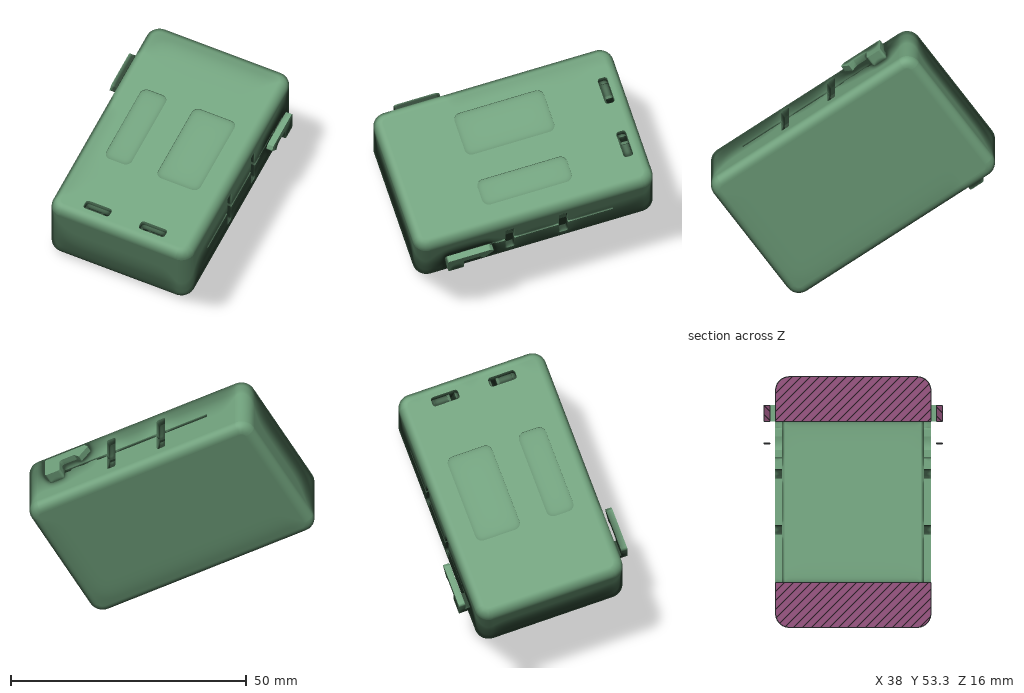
import cadquery as cq

BODY_WIDTH = 33.05
BODY_LENGTH = 53.3
BODY_HEIGHT = 16.0
CORNER_RADIUS = 3.0
RIM_RADIUS = 1.95
WALL = 1.5

GAP_LENGTH = 34.0
GAP_HEIGHT = 0.85

CORE_WIDTH = BODY_WIDTH - 2 * WALL
CORE_TOP = BODY_HEIGHT / 2 - WALL
CORE_CHAMFER = 0.55

WINDOW_WIDTH = 2.0
WINDOW_HEIGHT = 9.4
WINDOW_SPACING = 11.95
WINDOW_RADIUS = 0.5

OVERALL_WIDTH = 38.0
ARM_THICKNESS = 1.4
STEM_OUTER_Y = 20.5
STEM_INNER_Y = GAP_LENGTH / 2
LATCH_BOTTOM = -2.0
LATCH_TOP = 2.95
ARM_UNDERSIDE = 1.0
HOOK_TIP_Y = 12.4
HOOK_TIP_Z = -0.1
ARM_END_Y = 11.1
LATCH_RADIUS = 0.5
NOSE_RADIUS = 0.25

RIDGE_LENGTH = 6.55
RIDGE_SLOPE = 0.35
GROOVE_LENGTH = 2.75
GROOVE_DEPTH = 0.2

LABEL_LENGTH = 19.95
LABEL_DEPTH = 0.2
LABEL_RADIUS = 1.5
PART_NUMBER_X = -8.05
PART_NUMBER_WIDTH = 6.0
LOGO_X = 6.0
LOGO_WIDTH = 9.95

POCKET_X = 6.45
POCKET_Y = -22.8
POCKET_LENGTH = 6.1
POCKET_WIDTH = 2.15
POCKET_DEPTH = 1.75
POCKET_RADIUS = 0.65
RAMP_SIZE = 0.6
NOTCH_INNER_X = 4.05
NOTCH_OUTER_X = 5.2
NOTCH_DEPTH = 4.8
STEP_INNER_X = 5.8
STEP_OUTER_X = 8.75
STEP_DEPTH = 0.2

TOP = BODY_HEIGHT / 2


def enclosure():
    """Rounded outer block that both halves are cut from."""
    block = cq.Workplane("XY").box(BODY_WIDTH, BODY_LENGTH, BODY_HEIGHT)
    return block.edges("|Z").fillet(CORNER_RADIUS).faces("<Z or >Z").edges().fillet(RIM_RADIUS)


def half_space(side):
    """Block covering everything above (side = 1) or below (side = -1) the parting plane."""
    return cq.Workplane("XY").box(BODY_WIDTH, BODY_LENGTH, TOP).translate((0, 0, side * TOP / 2))


def core_cavity():
    return cq.Workplane("XY").box(CORE_WIDTH, GAP_LENGTH, 2 * CORE_TOP)


def cable_gap():
    return cq.Workplane("XY").box(BODY_WIDTH, GAP_LENGTH, GAP_HEIGHT)


def side_windows():
    """Two upright openings that pass through both long walls."""
    centers = [(-WINDOW_SPACING / 2, 0), (WINDOW_SPACING / 2, 0)]
    bars = cq.Workplane("YZ").pushPoints(centers).rect(WINDOW_WIDTH, WINDOW_HEIGHT)
    return bars.extrude(BODY_WIDTH / 2, both=True).edges("|X").fillet(WINDOW_RADIUS)


def housing_half(side):
    half = enclosure().intersect(half_space(side))
    return half.cut(core_cavity()).cut(cable_gap()).cut(side_windows())


def label_recess(x, width):
    recess = cq.Workplane("XY").box(width, LABEL_LENGTH, 2 * LABEL_DEPTH)
    return recess.edges("|Z").fillet(LABEL_RADIUS).translate((x, 0, TOP))


def top_pocket():
    """Pocket at +X with a sloped foot along its back wall, a steep inner notch and a sunken floor."""
    pocket = cq.Workplane("XY").box(POCKET_LENGTH, POCKET_WIDTH, 2 * POCKET_DEPTH)
    pocket = pocket.edges("|Z").fillet(POCKET_RADIUS).translate((POCKET_X, POCKET_Y, TOP))

    back = POCKET_Y + POCKET_WIDTH / 2
    floor = TOP - POCKET_DEPTH
    ramp_profile = [(back, floor + RAMP_SIZE), (back, floor), (back - RAMP_SIZE, floor)]
    ramp = cq.Workplane("YZ").polyline(ramp_profile).close().extrude(BODY_WIDTH / 2)

    floor_plane = cq.Workplane("XZ", origin=(0, back - RAMP_SIZE, 0))
    floor_width = POCKET_WIDTH - RAMP_SIZE
    notch_profile = [(NOTCH_INNER_X, floor), (NOTCH_OUTER_X, floor), (NOTCH_OUTER_X, floor - NOTCH_DEPTH)]
    notch = floor_plane.polyline(notch_profile).close().extrude(floor_width)
    step_profile = [
        (STEP_INNER_X, floor),
        (STEP_OUTER_X, floor),
        (STEP_OUTER_X, floor - STEP_DEPTH),
        (STEP_INNER_X, floor - STEP_DEPTH),
    ]
    step = floor_plane.polyline(step_profile).close().extrude(floor_width)
    return pocket.cut(ramp).union(notch).union(step)


def latch():
    """Stem and hooked arm beside the +X wall."""
    nose_y = (HOOK_TIP_Y + HOOK_TIP_Z + ARM_END_Y - LATCH_TOP) / 2
    nose_z = LATCH_TOP - (ARM_END_Y - nose_y)
    hook_root_y = HOOK_TIP_Y + ARM_UNDERSIDE - HOOK_TIP_Z
    profile = [
        (STEM_OUTER_Y, LATCH_BOTTOM),
        (STEM_INNER_Y, LATCH_BOTTOM),
        (STEM_INNER_Y, ARM_UNDERSIDE),
        (hook_root_y, ARM_UNDERSIDE),
        (HOOK_TIP_Y, HOOK_TIP_Z),
        (nose_y, nose_z),
        (ARM_END_Y, LATCH_TOP),
        (STEM_OUTER_Y, LATCH_TOP),
    ]
    reach = (OVERALL_WIDTH - BODY_WIDTH) / 2
    blank = cq.Workplane("YZ", origin=(BODY_WIDTH / 2, 0, 0)).polyline(profile).close().extrude(reach)
    blank = blank.edges("|X and <Y").fillet(NOSE_RADIUS)
    blank = blank.edges("|X and (>Y or <Z or >Z)").fillet(LATCH_RADIUS)
    inner_corner = cq.NearestToPointSelector((BODY_WIDTH / 2 + reach / 2, STEM_INNER_Y, ARM_UNDERSIDE))
    blank = blank.edges(inner_corner).fillet(LATCH_RADIUS)

    clearance = reach - ARM_THICKNESS
    over_stem = cq.Workplane("XY").box(clearance, BODY_LENGTH, TOP, centered=(False, True, False))
    behind_hook = cq.Workplane("XY").box(clearance, STEM_INNER_Y, BODY_HEIGHT, centered=(False, False, True))
    relief = over_stem.union(behind_hook)
    return blank.cut(relief.translate((BODY_WIDTH / 2, 0, 0)))


def clamping_ridge():
    """Ridge rising to the parting plane on the +X wall, with a shallow groove under the hook."""
    base = -GAP_HEIGHT / 2
    half_ridge = RIDGE_LENGTH / 2
    half_groove = GROOVE_LENGTH / 2
    outline = (
        cq.Workplane("YZ", origin=(BODY_WIDTH / 2 - WALL, HOOK_TIP_Y, 0))
        .moveTo(-half_ridge, base)
        .lineTo(-half_ridge + RIDGE_SLOPE, 0)
        .lineTo(-half_groove, 0)
        .threePointArc((0, -GROOVE_DEPTH), (half_groove, 0))
        .lineTo(half_ridge - RIDGE_SLOPE, 0)
        .lineTo(half_ridge, base)
        .close()
    )
    return outline.extrude(WALL)


def on_both_sides(shape):
    return [shape, shape.mirror("YZ")]


def upper_housing():
    half = housing_half(1)
    half = half.cut(label_recess(PART_NUMBER_X, PART_NUMBER_WIDTH)).cut(label_recess(LOGO_X, LOGO_WIDTH))
    for pocket in on_both_sides(top_pocket()):
        half = half.cut(pocket)
    return half


def lower_housing():
    half = housing_half(-1)
    for feature in on_both_sides(latch()) + on_both_sides(clamping_ridge()):
        half = half.union(feature)
    return half


def ferrite_core(side):
    """Bar above (side = 1) or below (side = -1) the cable gap, chamfered along the gap."""
    height = CORE_TOP - GAP_HEIGHT / 2
    core = cq.Workplane("XY").box(CORE_WIDTH, GAP_LENGTH, height)
    gap_face = "<Z" if side > 0 else ">Z"
    core = core.faces(gap_face).edges("|Y").chamfer(CORE_CHAMFER)
    return core.translate((0, 0, side * (CORE_TOP + GAP_HEIGHT / 2) / 2))


cores = [ferrite_core(side).val() for side in (1, -1)]

result = cq.Compound.makeCompound([upper_housing().val(), lower_housing().val(), *cores])